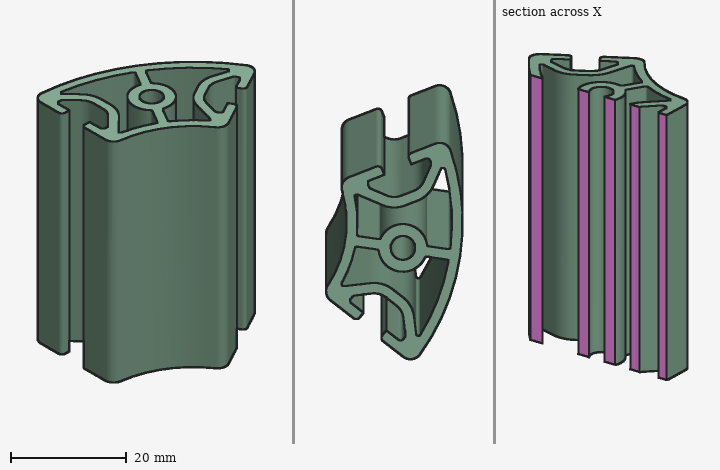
import cadquery as cq
import math

length = 50
sector_angle = 60
outer_radius = 40
inner_radius = 20
wall = 1.85
corner_fillet = 2
void_fillet = 0.4

bore_distance = (outer_radius + inner_radius) / 2
bore_radius = 2.1
tube_radius = 4.2

slot_distance = 30.25
mouth_half = 2.5
mouth_fillet = 0.75
pocket_half = 5.75
pocket_depth = 6.35
bend_half = 2.5
bend_radius = 3.25
pocket_fillet = 0.6

web_height = pocket_depth + wall
web_bend_half = bend_half + wall * math.tan(math.radians(22.5))
web_bend_radius = bend_radius + wall


def polar(radius, angle):
    a = math.radians(angle)
    return (-radius * math.cos(a), radius * math.sin(a))


def sector(outer, inner):
    """Ring sector from the -X direction round to the sector angle."""
    middle = sector_angle / 2
    return (
        cq.Workplane("XY")
        .moveTo(*polar(outer, 0))
        .threePointArc(polar(outer, middle), polar(outer, sector_angle))
        .lineTo(*polar(inner, sector_angle))
        .threePointArc(polar(inner, middle), polar(inner, 0))
        .close()
        .extrude(length)
    )


def mirrored(body):
    """Copy of a body reflected across the sector's middle plane."""
    turned = body.mirror("XZ")
    return turned.rotate((0, 0, 0), (0, 0, 1), -sector_angle)


def upright_edges_at(body, points):
    """Vertical edges of a body standing on the given XY points."""
    edges = body.edges("|Z")
    return edges.filter(lambda e: any(math.dist(e.Center().toTuple()[:2], p) < 0.005 for p in points))


def make_pocket():
    shoulder = pocket_depth - (pocket_half - bend_half)
    right_side = [
        (mouth_half, 0),
        (mouth_half, wall),
        (pocket_half, wall),
        (pocket_half, shoulder),
        (bend_half, pocket_depth),
    ]
    left_side = [(-x, y) for x, y in reversed(right_side)]
    pocket = cq.Workplane("XY").polyline(right_side + left_side).close().extrude(length)
    bends = [(side * bend_half, pocket_depth) for side in (-1, 1)]
    corners = [(side * pocket_half, y) for side in (-1, 1) for y in (wall, shoulder)]
    pocket = upright_edges_at(pocket, corners).fillet(pocket_fillet)
    pocket = upright_edges_at(pocket, bends).fillet(bend_radius)
    return pocket.translate((-slot_distance, 0, 0))


def make_void():
    """Hollow between the curved walls, the slot web and the central rib and tube."""
    web_foot = web_bend_half + web_height
    web = (
        cq.Workplane("XY")
        .polyline([
            (-web_foot, 0),
            (-web_bend_half, web_height),
            (web_bend_half, web_height),
            (web_foot, 0),
        ])
        .close()
        .extrude(length)
        .translate((-slot_distance, 0, 0))
    )
    tube = cq.Workplane("XY").center(-bore_distance, 0).circle(tube_radius).extrude(length)
    rib_and_beyond = (
        cq.Workplane("XY")
        .rect(2 * outer_radius, outer_radius)
        .extrude(length)
        .translate((0, (outer_radius - wall) / 2, 0))
    )
    centre_body = rib_and_beyond.union(tube).rotate((0, 0, 0), (0, 0, 1), -sector_angle / 2)
    void = sector(outer_radius - wall, inner_radius + wall).cut(web).cut(centre_body)

    bends = [(-slot_distance + side * web_bend_half, web_height) for side in (-1, 1)]
    corners = void.edges("|Z").filter(
        lambda e: all(math.dist(e.Center().toTuple()[:2], p) > 0.005 for p in bends)
    )
    void = corners.fillet(void_fillet)
    return upright_edges_at(void, bends).fillet(web_bend_radius)


result = sector(outer_radius, inner_radius).edges("|Z").fillet(corner_fillet)

pocket = make_pocket()
void = make_void()
for cutter in (pocket, void):
    result = result.cut(cutter).cut(mirrored(cutter))

bore = (
    cq.Workplane("XY")
    .center(*polar(bore_distance, sector_angle / 2))
    .circle(bore_radius)
    .extrude(length)
)
result = result.cut(bore)

mouth_edges = [(-slot_distance + side * mouth_half, 0) for side in (-1, 1)]
mouth_edges += [
    polar(slot_distance + side * mouth_half, sector_angle) for side in (-1, 1)
]
result = upright_edges_at(result, mouth_edges).fillet(mouth_fillet)